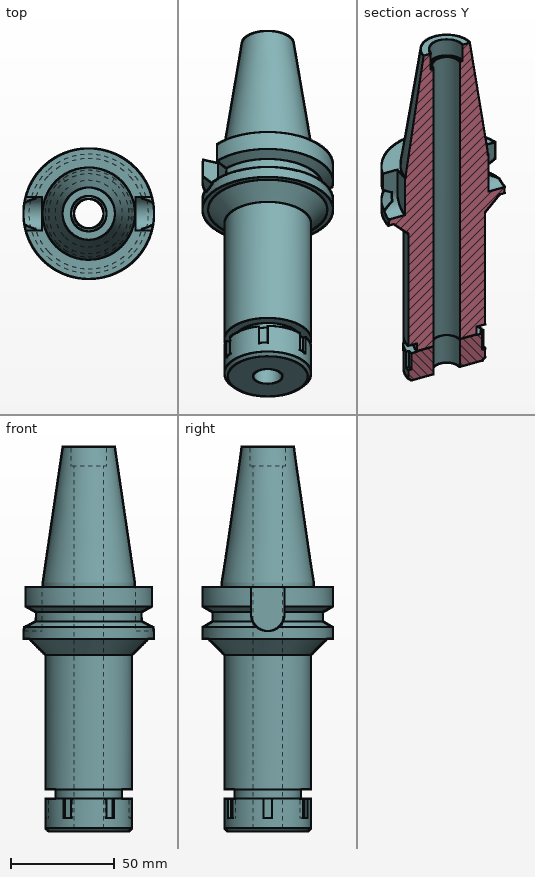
import cadquery as cq
import math

total_height = 185.4
through_diameter = 14.0

gauge_height = 120.0
taper_large_radius = 22.2
taper_small_radius = 12.6
socket_diameter = 17.0
socket_depth = 9.3

flange_radius = 31.5
flange_top = 118.0
flange_bottom = 92.9
groove_radius = 26.7
groove_upper_edge = 108.5
groove_lower_edge = 98.5
groove_side_height = (flange_radius - groove_radius) * math.tan(math.radians(30))

drive_slot_width = 16.1
drive_slot_bottom = 96.6
drive_slot_floor = 22.6
drive_slot_arc_center = drive_slot_bottom + drive_slot_width / 2

shank_radius = 21.0
cone_bottom = 85.1
cone_top_radius = shank_radius + flange_bottom - cone_bottom
shank_bottom = 20.4
neck_radius = 16.1

nut_radius = shank_radius
nut_height = 16.0
nut_chamfer = 1.7
wrench_slot_count = 6
wrench_slot_width = 4.3
wrench_slot_bottom = 6.7
wrench_slot_floor = 19.3


def cylinder(diameter, bottom, height):
    """Upright cylinder on the part axis."""
    return cq.Workplane("XY").workplane(offset=bottom).circle(diameter / 2).extrude(height)


def make_drive_slot(side):
    """Round-bottomed cutter for one drive slot; side is -1 or +1 along X."""
    half_width = drive_slot_width / 2
    return (
        cq.Workplane("YZ", origin=(side * drive_slot_floor, 0, 0))
        .moveTo(-half_width, flange_top)
        .lineTo(-half_width, drive_slot_arc_center)
        .threePointArc((0, drive_slot_bottom), (half_width, drive_slot_arc_center))
        .lineTo(half_width, flange_top)
        .close()
        .extrude(side * flange_radius)
    )


def make_holder():
    """Turned tool holder: taper, grooved flange, shank and neck."""
    profile = [
        (0, nut_height),
        (neck_radius, nut_height),
        (neck_radius, shank_bottom),
        (shank_radius, shank_bottom),
        (shank_radius, cone_bottom),
        (cone_top_radius, flange_bottom),
        (flange_radius, flange_bottom),
        (flange_radius, groove_lower_edge),
        (groove_radius, groove_lower_edge + groove_side_height),
        (groove_radius, groove_upper_edge - groove_side_height),
        (flange_radius, groove_upper_edge),
        (flange_radius, flange_top),
        (taper_large_radius, flange_top),
        (taper_large_radius, gauge_height),
        (taper_small_radius, total_height),
        (0, total_height),
    ]
    body = cq.Workplane("XZ").polyline(profile).close().revolve(360, (0, 0, 0), (0, 1, 0))
    for side in (-1, 1):
        body = body.cut(make_drive_slot(side))
    body = body.cut(cylinder(through_diameter, nut_height, total_height - nut_height))
    return body.cut(cylinder(socket_diameter, total_height - socket_depth, socket_depth))


def make_nut():
    """Clamping nut with wrench slots open to its rim and top face."""
    body = cylinder(2 * nut_radius, 0, nut_height).faces("<Z").chamfer(nut_chamfer)
    slot = cq.Workplane("XY").box(
        nut_radius, wrench_slot_width, nut_height - wrench_slot_bottom, centered=(False, True, False)
    ).translate((wrench_slot_floor, 0, wrench_slot_bottom))
    for index in range(wrench_slot_count):
        angle = index * 360 / wrench_slot_count
        body = body.cut(slot.rotate((0, 0, 0), (0, 0, 1), angle))
    return body.cut(cylinder(through_diameter, 0, nut_height))


holder = make_holder()
nut = make_nut()
result = cq.Compound.makeCompound([holder.val(), nut.val()])